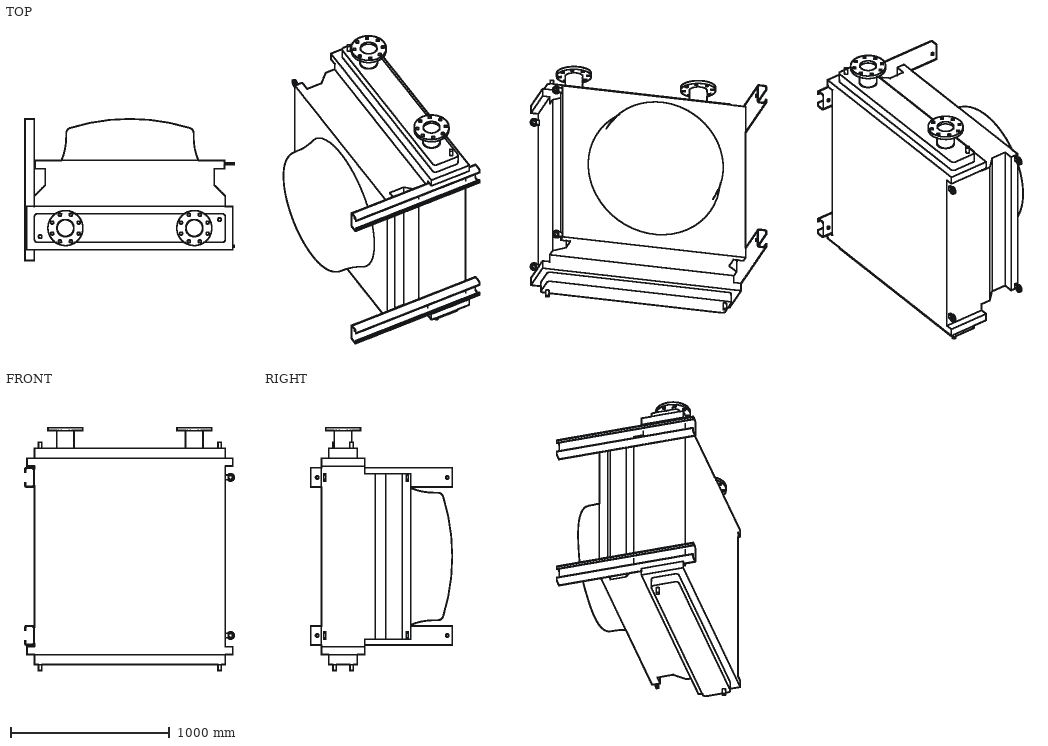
import cadquery as cq
import math


core_half_width = 603.0
header_half_width = 651.0
header_depth = 275.0
header_top = 620.0
header_height = 50.0

duct_half_height = 522.0
wide_duct_back = 340.0
neck_half_width = 534.0
neck_front = wide_duct_back + core_half_width - neck_half_width
plate_half_width = 599.0
plate_front = 511.0
plate_back = 565.0

cowl_base_radius = 433.0
cowl_radius = 404.0
cowl_band_front = 709.0
cowl_back = 827.0
crown_sphere_radius = 1274.0
crown_corner_radius = 38.0

cap_depth = 181.0
cap_corner_radius = 21.0
cap_height = 63.0
pipe_line_y = header_depth / 2

stub_diameter = 21.0
stub_x = 566.0
stub_offset_y = 54.0
stub_height = 38.0

nozzle_x = 407.0
nozzle_height = 130.0
nozzle_diameter = 112.0
nozzle_bore = 105.0
flange_diameter = 221.0
flange_thickness = 20.0
bolt_count = 8
bolt_circle_radius = 90.0
bolt_hole_diameter = 18.0

rail_front = -68.0
rail_length = cowl_back - rail_front
rail_depth = 60.0
rail_height = 123.0
rail_lip = 28.0
rail_thickness = 5.0
rail_bend_radius = 12.0
rail_z = 499.0
rail_front_hole_inset = 41.0
rail_back_hole_inset = 32.0
rail_hole_diameter = 18.0

eye_radius = 23.0
eye_hole_diameter = 26.0
eye_thickness = 12.0
eye_x = 635.0
eye_stem_height = 30.0
eye_inset = 21.0


def make_core():
    """Core block with a wider header bar along its top and bottom."""
    core = (
        cq.Workplane("XY")
        .box(2 * core_half_width, header_depth, 2 * header_top, centered=(True, False, True))
    )
    for header_bottom in (header_top - header_height, -header_top):
        header = (
            cq.Workplane("XY", origin=(0, 0, header_bottom))
            .box(2 * header_half_width, header_depth, header_height, centered=(True, False, False))
        )
        core = core.union(header)
    return core


def make_duct():
    """Necked duct from the core to the fan plate, with one constant plan outline."""
    right_side = [
        (core_half_width, 0),
        (core_half_width, wide_duct_back),
        (neck_half_width, neck_front),
        (neck_half_width, plate_front),
        (plate_half_width, plate_front),
        (plate_half_width, plate_back),
    ]
    left_side = [(-x, y) for x, y in reversed(right_side)]
    return (
        cq.Workplane("XY", origin=(0, 0, -duct_half_height))
        .polyline(right_side + left_side)
        .close()
        .extrude(2 * duct_half_height)
    )


def make_cowl():
    """Domed fan cowl: flared skirt, short straight band, rounded shoulder and spherical crown."""
    sphere_y = cowl_back - crown_sphere_radius
    shoulder_x = cowl_radius - crown_corner_radius
    shoulder_y = sphere_y + math.sqrt((crown_sphere_radius - crown_corner_radius) ** 2 - shoulder_x ** 2)
    shoulder_angle = math.atan2(shoulder_y - sphere_y, shoulder_x)

    def on_shoulder(angle):
        return (
            shoulder_x + crown_corner_radius * math.cos(angle),
            shoulder_y + crown_corner_radius * math.sin(angle),
        )

    def on_crown(angle):
        return (
            crown_sphere_radius * math.cos(angle),
            sphere_y + crown_sphere_radius * math.sin(angle),
        )

    crown_middle = (shoulder_angle + math.pi / 2) / 2
    return (
        cq.Workplane("XY")
        .moveTo(0, plate_back)
        .lineTo(0, cowl_back)
        .threePointArc(on_crown(crown_middle), on_shoulder(shoulder_angle))
        .threePointArc(on_shoulder(shoulder_angle / 2), on_shoulder(0))
        .lineTo(cowl_radius, cowl_band_front)
        .tangentArcPoint((cowl_base_radius, plate_back), relative=False)
        .close()
        .revolve(360, (0, 0, 0), (0, 1, 0))
    )


def make_plain_cap():
    """Header cap with rounded upright corners, standing on Z = 0."""
    return (
        cq.Workplane("XY", origin=(0, pipe_line_y, 0))
        .box(2 * core_half_width, cap_depth, cap_height, centered=(True, True, False))
        .edges("|Z")
        .fillet(cap_corner_radius)
    )


def make_cap(diagonal):
    """Cap with two stubs at opposite corners; diagonal (+1 or -1) picks the corner pair."""
    stubs = (
        cq.Workplane("XY", origin=(0, pipe_line_y, cap_height))
        .pushPoints([(side * stub_x, diagonal * side * stub_offset_y) for side in (-1, 1)])
        .circle(stub_diameter / 2)
        .extrude(stub_height)
    )
    return make_plain_cap().union(stubs)


def make_nozzle():
    """Pipe with a bolted flange at its upper end, standing on Z = 0."""
    pipe = cq.Workplane("XY").circle(nozzle_diameter / 2).extrude(nozzle_height)
    flange = (
        cq.Workplane("XY", origin=(0, 0, nozzle_height - flange_thickness))
        .circle(flange_diameter / 2)
        .extrude(flange_thickness)
    )
    bore = cq.Workplane("XY").circle(nozzle_bore / 2).extrude(nozzle_height)
    bolt_holes = (
        cq.Workplane("XY", origin=(0, 0, nozzle_height - flange_thickness))
        .polarArray(bolt_circle_radius, 180 / bolt_count, 360, bolt_count)
        .circle(bolt_hole_diameter / 2)
        .extrude(flange_thickness)
    )
    return pipe.union(flange).cut(bore).cut(bolt_holes)


def make_top_cap():
    cap = make_cap(1)
    for side in (-1, 1):
        cap = cap.union(make_nozzle().translate((side * nozzle_x, pipe_line_y, cap_height)))
    return cap.translate((0, 0, header_top))


def make_bottom_cap():
    cap = make_cap(-1)
    return cap.mirror("XY").translate((0, 0, -header_top))


def make_cooler():
    """Core, headers, caps, fan duct and cowl as one body."""
    cooler = make_core().union(make_duct()).union(make_cowl())
    return cooler.union(make_top_cap()).union(make_bottom_cap())


def make_rail():
    """Lipped channel along Y, open towards -X, with its web against the core side."""
    web_middle_x = -core_half_width - rail_depth / 2
    inner_bend_radius = rail_bend_radius - rail_thickness

    def rounded_bar(depth, height, radius):
        return (
            cq.Workplane("XY", origin=(web_middle_x, rail_front, 0))
            .box(depth, rail_length, height, centered=(True, False, True))
            .edges("|Y")
            .fillet(radius)
        )

    inner_depth = rail_depth - 2 * rail_thickness
    inner_height = rail_height - 2 * rail_thickness
    mouth = (
        cq.Workplane("XY", origin=(web_middle_x - rail_depth / 2, rail_front, 0))
        .box(rail_depth, rail_length, rail_height - 2 * rail_lip, centered=(True, False, True))
    )
    holes = (
        cq.Workplane("YZ", origin=(-core_half_width - rail_depth, 0, 0))
        .pushPoints([
            (rail_front + rail_front_hole_inset, 0),
            (cowl_back - rail_back_hole_inset, 0),
        ])
        .circle(rail_hole_diameter / 2)
        .extrude(rail_depth)
    )
    return (
        rounded_bar(rail_depth, rail_height, rail_bend_radius)
        .cut(rounded_bar(inner_depth, inner_height, inner_bend_radius))
        .cut(mouth)
        .cut(holes)
    )


def make_eye(root_x, middle_y):
    """Flat ring in the XZ plane on a stem that starts at X = root_x."""
    ring = cq.Workplane("XZ").center(eye_x, 0).circle(eye_radius).extrude(eye_thickness / 2, both=True)
    stem = (
        cq.Workplane("XY", origin=(root_x, 0, 0))
        .box(eye_x - root_x, eye_thickness, eye_stem_height, centered=(False, True, True))
    )
    hole = (
        cq.Workplane("XZ").center(eye_x, 0).circle(eye_hole_diameter / 2).extrude(eye_thickness, both=True)
    )
    return ring.union(stem).cut(hole).translate((0, middle_y, 0))


cooler = make_cooler()

rails = []
eyes = []
for level in (-rail_z, rail_z):
    rails.append(make_rail().translate((0, 0, level)))
    eyes.append(make_eye(core_half_width, eye_inset).translate((0, 0, level)))
    eyes.append(make_eye(plate_half_width, plate_back - eye_inset).translate((0, 0, level)))

result = cq.Compound.makeCompound([cooler.val(), *[part.val() for part in rails + eyes]])